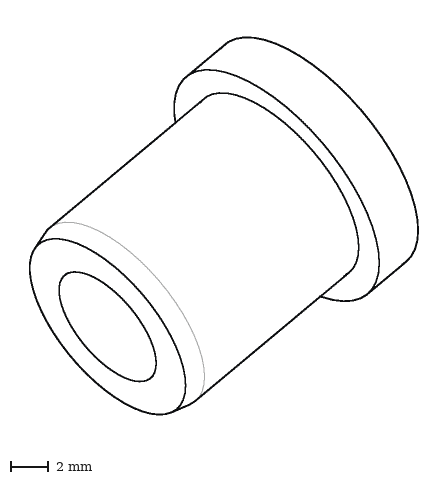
import cadquery as cq
import math

head_diameter = 15.0
head_thickness = 3.0
body_diameter = 12.0
bore_diameter = 7.1
total_length = 16.0

taper_depth = 0.3
taper_angle = 15.0
taper_length = taper_depth / math.tan(math.radians(taper_angle))

head_radius = head_diameter / 2
body_radius = body_diameter / 2
bore_radius = bore_diameter / 2
tip_radius = body_radius - taper_depth
head_underside = total_length - head_thickness


def bushing():
    """Revolve the half section (radius, position along Y) around the Y axis."""
    half_section = (
        cq.Workplane("XY")
        .moveTo(bore_radius, 0)
        .lineTo(tip_radius, 0)
        .lineTo(body_radius, taper_length)
        .lineTo(body_radius, head_underside)
        .lineTo(head_radius, head_underside)
        .lineTo(head_radius, total_length)
        .lineTo(bore_radius, total_length)
        .close()
    )
    return half_section.revolve(360, (0, 0, 0), (0, 1, 0))


result = bushing()